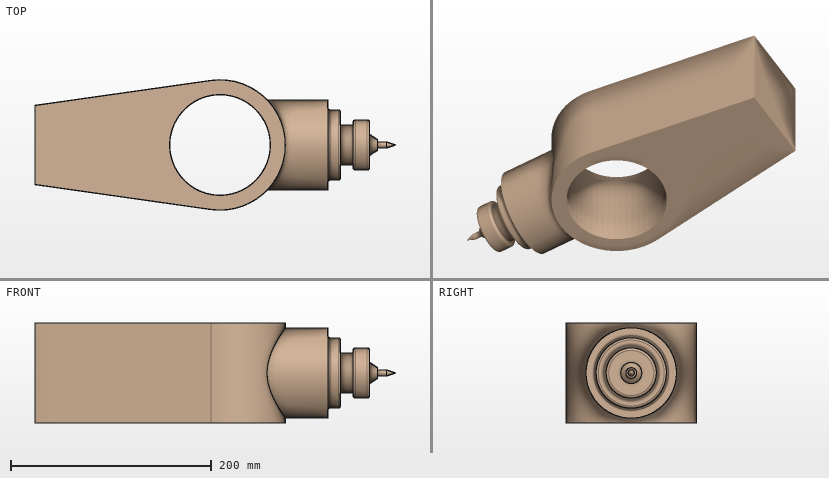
import cadquery as cq
import math

arm_height = 100.0
ring_radius = 65.0
bore_radius = 50.0
arm_length = 184.46
butt_width = 79.0

body_radius = 45.0
body_end = 107.4
collar_radius = 35.0
collar_end = 120.0
collar_round = 2.2
neck_radius = 20.0
neck_end = 132.5
nut_radius = 25.0
nut_end = 149.0
nut_round = 2.5
nose_base_radius = 10.5
nose_tip_radius = 5.3
nose_end = 157.0
pin_radius = 3.1
pin_end = 166.0
point_end = 175.0


def make_arm():
    """Tapered block whose sides run tangent into the ring."""
    butt_half = butt_width / 2
    corner_distance = math.hypot(arm_length, butt_half)
    side_angle = math.asin(ring_radius / corner_distance) - math.atan2(butt_half, arm_length)
    tangent_x = -ring_radius * math.sin(side_angle)
    tangent_y = ring_radius * math.cos(side_angle)
    return (
        cq.Workplane("XY")
        .workplane(offset=-arm_height / 2)
        .moveTo(-arm_length, -butt_half)
        .lineTo(tangent_x, -tangent_y)
        .threePointArc((ring_radius, 0), (tangent_x, tangent_y))
        .lineTo(-arm_length, butt_half)
        .close()
        .extrude(arm_height)
    )


def round_middle(center_x, center_radius, round_radius, x_side, radius_side):
    """Middle point of a quarter-circle round; each side is +1 or -1 from the round's centre."""
    offset = round_radius * math.sqrt(0.5)
    return (center_x + x_side * offset, center_radius + radius_side * offset)


def make_spindle():
    """Spindle revolved about X, starting on the bore axis."""
    flare_end = body_end + collar_round
    flare_radius = collar_radius + collar_round
    collar_round_start = collar_end - collar_round
    collar_face_radius = collar_radius - collar_round
    nut_rear_round_end = neck_end + nut_round
    nut_front_round_start = nut_end - nut_round
    nut_face_radius = nut_radius - nut_round

    flare_middle = round_middle(flare_end, flare_radius, collar_round, -1, -1)
    collar_middle = round_middle(collar_round_start, collar_face_radius, collar_round, 1, 1)
    nut_rear_middle = round_middle(nut_rear_round_end, nut_face_radius, nut_round, -1, 1)
    nut_front_middle = round_middle(nut_front_round_start, nut_face_radius, nut_round, 1, 1)
    return (
        cq.Workplane("XZ")
        .lineTo(0, body_radius)
        .lineTo(body_end, body_radius)
        .lineTo(body_end, flare_radius)
        .threePointArc(flare_middle, (flare_end, collar_radius))
        .lineTo(collar_round_start, collar_radius)
        .threePointArc(collar_middle, (collar_end, collar_face_radius))
        .lineTo(collar_end, neck_radius)
        .lineTo(neck_end, neck_radius)
        .lineTo(neck_end, nut_face_radius)
        .threePointArc(nut_rear_middle, (nut_rear_round_end, nut_radius))
        .lineTo(nut_front_round_start, nut_radius)
        .threePointArc(nut_front_middle, (nut_end, nut_face_radius))
        .lineTo(nut_end, nose_base_radius)
        .lineTo(nose_end, nose_tip_radius)
        .lineTo(nose_end, pin_radius)
        .lineTo(pin_end, pin_radius)
        .lineTo(point_end, 0)
        .close()
        .revolve(360, (0, 0, 0), (1, 0, 0))
    )


def make_bore():
    """Cylinder that clears the ring and the start of the spindle, over the full height."""
    return cq.Workplane("XY").workplane(offset=-arm_height / 2).circle(bore_radius).extrude(arm_height)


result = make_arm().union(make_spindle()).cut(make_bore())